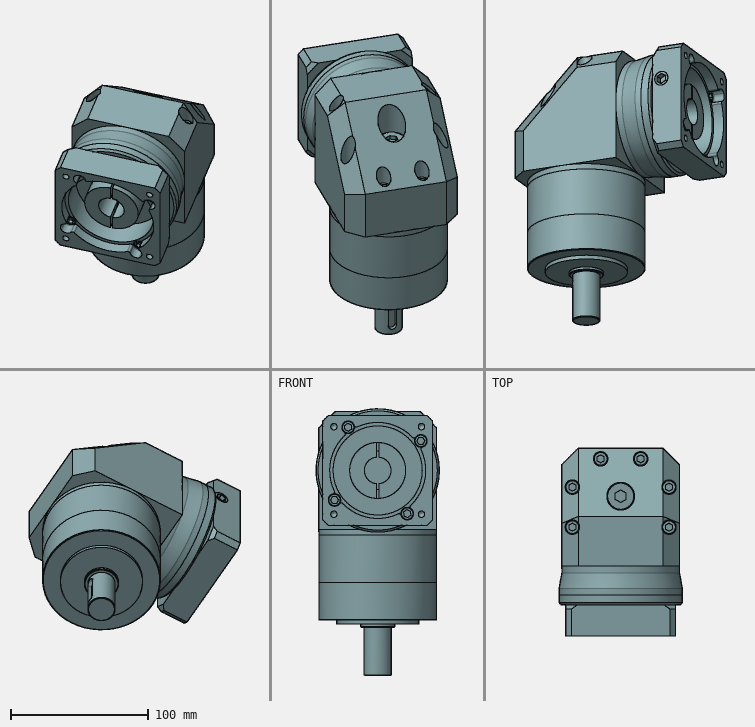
import cadquery as cq
import math


overall_height = 194.5
body_diameter = 86.0
body_radius = body_diameter / 2
input_radius = 90.0 / 2
shaft_end_z = input_radius - overall_height
motor_face_y = -94.0

back_bevel = 49.8
rim_bevel = 12.0
stub_bottom_z = -47.0
cone_start_y = -48.0
cone_end_y = -59.3
plate_joint_y = -64.0

bolt_circle_radius = 38.1
bolt_first_angle = -22.5
bolt_spacing = 45.0
bolt_count = 6
bolt_recess_diameter = 10.5
bolt_head_diameter = 9.3
bolt_hex_flats = 5.0
plug_y = 8.0
plug_recess_diameter = 20.2
plug_head_diameter = 19.0
plug_hex_flats = 8.0
floor_margin = 3.9
head_height = 1.0
hex_depth = 3.0

ring_gear_bottom_z = -81.7
output_bottom_z = -109.1
pilot_bottom_z = -112.0
pilot_diameter = 60.0
edge_chamfer = 0.5

shaft_diameter = 20.0
collar_diameter = 25.0
collar_bottom_z = -114.4
keyway_width = 6.0
keyway_length = 28.0
keyway_depth = 3.5
keyway_end_gap = 4.5

plate_width = 80.1
plate_corner = 4.0
plate_back_y = -71.2
back_corner_chamfer = 3.1
ring_chamfer = 1.5
pilot_bore_diameter = 70.0
pilot_bore_depth = 8.0
inner_bore_diameter = 65.0
inner_bore_depth = 27.5
tapped_offset = 31.9
tapped_diameter = 4.7
tapped_depth = 9.7
drill_point_angle = 118.0

mount_count = 4
mount_circle_radius = 38.1
mount_first_angle = 34.4
mount_recess_diameter = 9.1
mount_head_diameter = 8.4
mount_hex_flats = 5.0
mount_recess_depth = 9.7
neck_fillet = 1.5

side_socket_y = -78.0
side_socket_z = 14.0
side_socket_rim_diameter = 10.5
side_socket_rim_depth = 0.2
side_socket_flats = 6.6
side_socket_depth = 5.8

hub_diameter = 40.8
hub_bore_diameter = 19.5
hub_front_gap = 9.3
slit_width = 1.5
deep_slit_span = 28.0
outer_slit_depth = 9.7


def disc_z(diameter, bottom_z, top_z):
    """Cylinder on the output axis."""
    return cq.Workplane("XY", origin=(0, 0, bottom_z)).circle(diameter / 2).extrude(top_z - bottom_z)


def motor_plane(y):
    """Plane square to the motor axis, facing out of the motor face; local y is Z."""
    return cq.Workplane("XZ", origin=(0, y, 0))


def hexagon(workplane, flats, depth):
    """Hexagonal prism with corners on the local y axis."""
    corner_radius = flats / 2 / math.cos(math.radians(30))
    angles = [math.radians(30 + 60 * i) for i in range(6)]
    corners = [(corner_radius * math.cos(a), corner_radius * math.sin(a)) for a in angles]
    return workplane.polyline(corners).close().extrude(depth)


def sunk_screw(recess_diameter, head_diameter, hex_flats, recess_depth):
    """Cutter with its floor at z = 0 that leaves a socket screw head standing on the floor."""
    recess = disc_z(recess_diameter, 0, recess_depth)
    head = disc_z(head_diameter, 0, head_height)
    socket = hexagon(cq.Workplane("XY", origin=(0, 0, head_height)), hex_flats, -hex_depth)
    return recess.cut(head).union(socket)


def recess_floor_z(x, y, diameter):
    """Floor height that clears the bevelled elbow under the whole recess rim."""
    outer_x = abs(x) + diameter / 2
    outer_y = y + diameter / 2
    rim_drop = max(0, outer_x - (body_radius - rim_bevel))
    top_z = body_radius - rim_drop
    slope_z = body_radius + (body_radius - back_bevel) - outer_y - rim_drop * math.sqrt(2)
    return min(top_z, slope_z) - floor_margin


def sunk_screw_from_above(x, y, recess_diameter, head_diameter, hex_flats):
    floor_z = recess_floor_z(x, y, recess_diameter)
    cutter = sunk_screw(recess_diameter, head_diameter, hex_flats, body_radius - floor_z)
    return cutter.translate((x, y, floor_z))


def make_elbow():
    r = body_radius
    outline = [(-r, -r), (r, -r), (r, r - back_bevel), (r - back_bevel, r), (-r, r)]
    block = cq.Workplane("YZ", origin=(-r, 0, 0)).polyline(outline).close().extrude(body_diameter)
    back_and_top_rims = block.faces("<X or >X").edges("not(<Y or <Z)")
    elbow = back_and_top_rims.chamfer(rim_bevel)

    input_profile = [
        (0, -r), (r, -r), (r, cone_start_y), (input_radius, cone_end_y),
        (input_radius, plate_joint_y), (0, plate_joint_y),
    ]
    input_neck = cq.Workplane("XY").polyline(input_profile).close().revolve(360, (0, 0), (0, 1))
    elbow = elbow.union(input_neck).union(disc_z(body_diameter, stub_bottom_z, -r))

    for i in range(bolt_count):
        angle = math.radians(bolt_first_angle + i * bolt_spacing)
        x = bolt_circle_radius * math.cos(angle)
        y = bolt_circle_radius * math.sin(angle)
        elbow = elbow.cut(
            sunk_screw_from_above(x, y, bolt_recess_diameter, bolt_head_diameter, bolt_hex_flats))
    return elbow.cut(
        sunk_screw_from_above(0, plug_y, plug_recess_diameter, plug_head_diameter, plug_hex_flats))


def make_ring_gear():
    return disc_z(body_diameter, ring_gear_bottom_z, stub_bottom_z)


def make_output_housing():
    housing = disc_z(body_diameter, output_bottom_z, ring_gear_bottom_z)
    housing = housing.faces("<Z").edges().chamfer(edge_chamfer)
    return housing.union(disc_z(pilot_diameter, pilot_bottom_z, output_bottom_z))


def make_shaft():
    collar = disc_z(collar_diameter, collar_bottom_z, pilot_bottom_z)
    collar = collar.faces("<Z").edges().chamfer(edge_chamfer)
    shaft = disc_z(shaft_diameter, shaft_end_z, collar_bottom_z)
    shaft = shaft.faces("<Z").edges().chamfer(edge_chamfer)
    keyway_floor_y = shaft_diameter / 2 - keyway_depth
    keyway_middle_z = shaft_end_z + keyway_end_gap + keyway_length / 2
    keyway = (
        cq.Workplane("XZ", origin=(0, keyway_floor_y, keyway_middle_z))
        .slot2D(keyway_length, keyway_width, 90)
        .extrude(-2 * keyway_depth)
    )
    return shaft.cut(keyway).union(collar)


def mount_screw_pocket():
    """Recess on the +X side of the bore, with rounded corners where it opens into the bore."""
    bore_radius = pilot_bore_diameter / 2
    recess_radius = mount_recess_diameter / 2
    bore = motor_plane(motor_face_y).circle(bore_radius).extrude(-pilot_bore_depth)
    recess = (
        motor_plane(motor_face_y).center(mount_circle_radius, 0)
        .circle(recess_radius).extrude(-pilot_bore_depth)
    )
    corners = cq.selectors.BoxSelector(
        (bore_radius - recess_radius, motor_face_y, -recess_radius),
        (mount_circle_radius + recess_radius, 0, recess_radius),
    )
    pocket = bore.union(recess).edges("|Y").edges(corners).fillet(neck_fillet)
    screw = sunk_screw(mount_recess_diameter, mount_head_diameter, mount_hex_flats, mount_recess_depth)
    screw = screw.rotate((0, 0, 0), (1, 0, 0), 90)
    return pocket.union(screw.translate((mount_circle_radius, motor_face_y + mount_recess_depth, 0)))


def tapped_holes():
    """Blind holes with drill points, one near each corner of the plate."""
    radius = tapped_diameter / 2
    point_depth = tapped_depth + radius / math.tan(math.radians(drill_point_angle / 2))
    profile = [(0, 0), (radius, 0), (radius, tapped_depth), (0, point_depth)]
    hole = cq.Workplane("XY").polyline(profile).close().revolve(360, (0, 0), (0, 1))
    holes = cq.Workplane("XY")
    for x in (-tapped_offset, tapped_offset):
        for z in (-tapped_offset, tapped_offset):
            holes = holes.union(hole.translate((x, motor_face_y, z)))
    return holes


def side_socket():
    def side_plane():
        return cq.Workplane("YZ", origin=(-plate_width / 2, side_socket_y, side_socket_z))

    rim = side_plane().circle(side_socket_rim_diameter / 2).extrude(side_socket_rim_depth)
    return rim.union(hexagon(side_plane(), side_socket_flats, side_socket_depth))


def make_motor_plate():
    plate = (
        motor_plane(plate_back_y).rect(plate_width, plate_width).extrude(plate_back_y - motor_face_y)
        .edges("|Y").chamfer(plate_corner)
    )
    back_corners = plate.faces(">Y").edges("not(|X or |Z)")
    plate = back_corners.chamfer(back_corner_chamfer)

    ring = motor_plane(plate_joint_y).circle(input_radius).extrude(plate_joint_y - plate_back_y)
    plate = plate.union(ring.faces("<Y").edges().chamfer(ring_chamfer))

    inner_bore = motor_plane(motor_face_y).circle(inner_bore_diameter / 2).extrude(-inner_bore_depth)
    plate = plate.cut(inner_bore)
    pocket = mount_screw_pocket()
    for i in range(mount_count):
        angle = mount_first_angle + i * 360 / mount_count
        plate = plate.cut(pocket.rotate((0, 0, 0), (0, -1, 0), angle))
    return plate.cut(tapped_holes()).cut(side_socket())


def make_hub():
    front_y = motor_face_y + hub_front_gap
    length = inner_bore_depth - hub_front_gap
    hub = motor_plane(front_y).circle(hub_diameter / 2).circle(hub_bore_diameter / 2).extrude(-length)
    deep_slit = motor_plane(front_y).rect(slit_width, deep_slit_span).extrude(-length)
    outer_slit = motor_plane(front_y).rect(slit_width, hub_diameter).extrude(-outer_slit_depth)
    return hub.cut(deep_slit).cut(outer_slit)


elbow = make_elbow()
ring_gear = make_ring_gear()
output_housing = make_output_housing()
shaft = make_shaft()
motor_plate = make_motor_plate()
hub = make_hub()

result = cq.Compound.makeCompound([
    elbow.val(),
    ring_gear.val(),
    output_housing.val(),
    shaft.val(),
    motor_plate.val(),
    hub.val(),
])